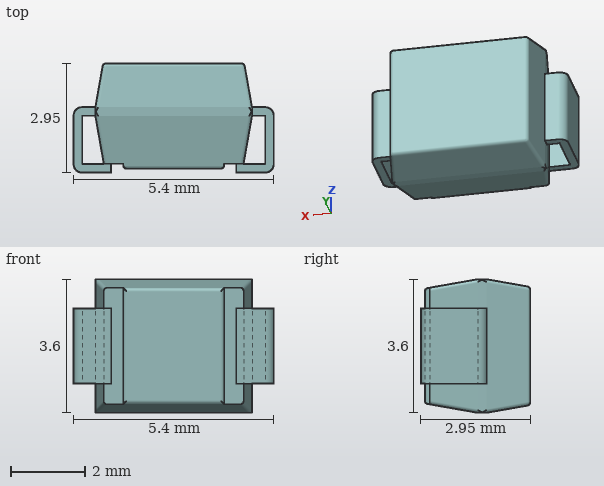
import cadquery as cq
import math

body_width = 4.225
body_height = 3.6
band_depth = 0.25
back_depth = 1.175
draft_angle = 10
edge_radius = 0.1

overall_width = 5.4
lead_depth = 1.77
lead_thickness = 0.24
lead_height = 2.03
foot_length = 1.015
lead_embed = 0.16

pad_width = 2.72
pad_setback = 0.1

band_back_y = band_depth / 2
back_y = band_back_y + back_depth
lead_front_y = band_back_y - lead_depth
shoulder_y = lead_front_y + lead_thickness
pad_front_y = lead_front_y + pad_setback


def tapered_half(end_y):
    """Half body from Y = 0 to end_y, reaching full size at the edge of the band."""
    overrun = band_depth / 2 * math.tan(math.radians(draft_angle))
    half = (
        cq.Workplane("XZ")
        .rect(body_width + 2 * overrun, body_height + 2 * overrun)
        .extrude(-end_y, taper=draft_angle)
    )
    return half.faces("<X or >X").edges("not |Z").fillet(edge_radius)


def make_back_half():
    return tapered_half(back_y).faces(">Y").edges().fillet(edge_radius)


def make_front_half():
    """Front half cut back beside the pad, with the pad rim rounded."""
    half = tapered_half(pad_front_y)
    step_width = (overall_width - pad_width) / 2
    step_depth = 2 * (shoulder_y - pad_front_y)
    for side in (-1, 1):
        step = cq.Workplane("XY").box(step_width, step_depth, overall_width)
        half = half.cut(step.translate((side * (pad_width + step_width) / 2, pad_front_y, 0)))
    return half.faces("<Y").edges().fillet(edge_radius)


def make_body():
    band_limit = cq.Workplane("XZ").rect(body_width, body_height).extrude(overall_width, both=True)
    return make_back_half().union(make_front_half()).intersect(band_limit)


def make_left_lead():
    """C-shaped strip: top arm into the body, outer wall and foot under the shoulder."""
    outer_x = -overall_width / 2
    inner_x = outer_x + lead_thickness
    arm_end_x = -body_width / 2 + lead_embed
    foot_end_x = outer_x + foot_length
    strip = (
        cq.Workplane("XY")
        .moveTo(arm_end_x, band_back_y)
        .lineTo(outer_x, band_back_y)
        .lineTo(outer_x, lead_front_y)
        .lineTo(foot_end_x, lead_front_y)
        .lineTo(foot_end_x, shoulder_y)
        .lineTo(inner_x, shoulder_y)
        .lineTo(inner_x, band_back_y - lead_thickness)
        .lineTo(arm_end_x, band_back_y - lead_thickness)
        .close()
        .extrude(lead_height / 2, both=True)
    )
    return strip.edges("|Z and <X").fillet(lead_thickness)


left_lead = make_left_lead()
result = make_body().union(left_lead).union(left_lead.mirror("YZ"))